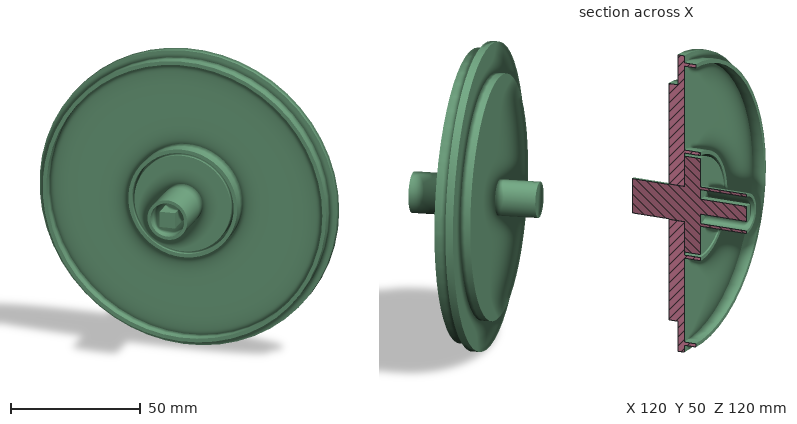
import cadquery as cq


FLANGE_DIA = 120.0
FLANGE_THICKNESS = 3.0
RIM_OUTER_DIA = 114.4
RIM_INNER_DIA = 111.4
RIM_HEIGHT = 5.0
BACK_DISC_DIA = 95.8
BACK_DISC_THICKNESS = 4.0

HUB_OUTER_DIA = 43.9
HUB_INNER_DIA = 41.0
HUB_PROJECTION = 2.0

DISC_DIA = 39.0
TUBE_OUTER_DIA = 16.1
TUBE_BORE_DIA = 13.5
TUBE_LENGTH = 20.0
SQUARE_SIDE = 6.2
SHAFT_DIA = 14.0
SHAFT_LENGTH = 16.0

rim_front = -RIM_HEIGHT
hub_front = rim_front - HUB_PROJECTION
tube_front = hub_front - TUBE_LENGTH
flange_back = FLANGE_THICKNESS
dish_back = flange_back + BACK_DISC_THICKNESS
shaft_back = dish_back + SHAFT_LENGTH


def cylinder(diameter, y_start, y_end):
    """Solid cylinder on the common axis between two Y positions."""
    base = cq.Workplane("XZ", origin=(0, y_start, 0))
    return base.circle(diameter / 2).extrude(y_start - y_end)


def ring(outer_dia, inner_dia, y_start, y_end):
    """Cylindrical wall on the common axis between two Y positions."""
    return cylinder(outer_dia, y_start, y_end).cut(cylinder(inner_dia, y_start, y_end))


def make_dish():
    """Flanged dish with a rim, a hub ring and a clearance-free shaft hole."""
    flange = cylinder(FLANGE_DIA, 0, flange_back)
    back_disc = cylinder(BACK_DISC_DIA, flange_back, dish_back)
    rim = ring(RIM_OUTER_DIA, RIM_INNER_DIA, rim_front, 0)
    hub = ring(HUB_OUTER_DIA, HUB_INNER_DIA, hub_front, 0)
    shaft_hole = cylinder(SHAFT_DIA, 0, dish_back)
    return flange.union(back_disc).union(rim).union(hub).cut(shaft_hole)


def make_spindle():
    """Disc seated inside the hub ring, with a square drive in a front tube and a back shaft."""
    disc = cylinder(DISC_DIA, hub_front, 0)
    tube = ring(TUBE_OUTER_DIA, TUBE_BORE_DIA, tube_front, hub_front)
    square_drive = (
        cq.Workplane("XZ", origin=(0, tube_front, 0))
        .rect(SQUARE_SIDE, SQUARE_SIDE)
        .extrude(-TUBE_LENGTH)
    )
    shaft = cylinder(SHAFT_DIA, 0, shaft_back)
    return disc.union(tube).union(square_drive).union(shaft)


dish = make_dish()
spindle = make_spindle()
result = cq.Compound.makeCompound([dish.val(), spindle.val()])